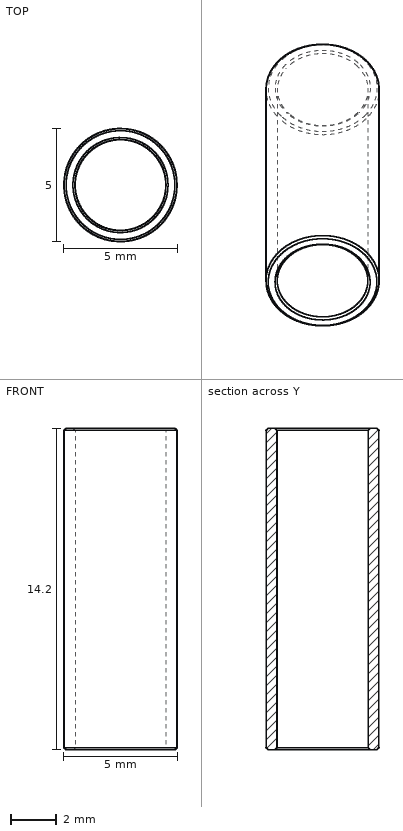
import cadquery as cq

outer_diameter = 5.0
bore_diameter = 4.0
length = 14.2
edge_chamfer = 0.1


def make_tube():
    """Plain tube standing on the XY plane, axis along Z."""
    return (
        cq.Workplane("XY")
        .circle(outer_diameter / 2)
        .circle(bore_diameter / 2)
        .extrude(length)
    )


def chamfer_ends(tube):
    """Break the outer and bore edges at both end faces."""
    return tube.faces("|Z").edges().chamfer(edge_chamfer)


result = chamfer_ends(make_tube())